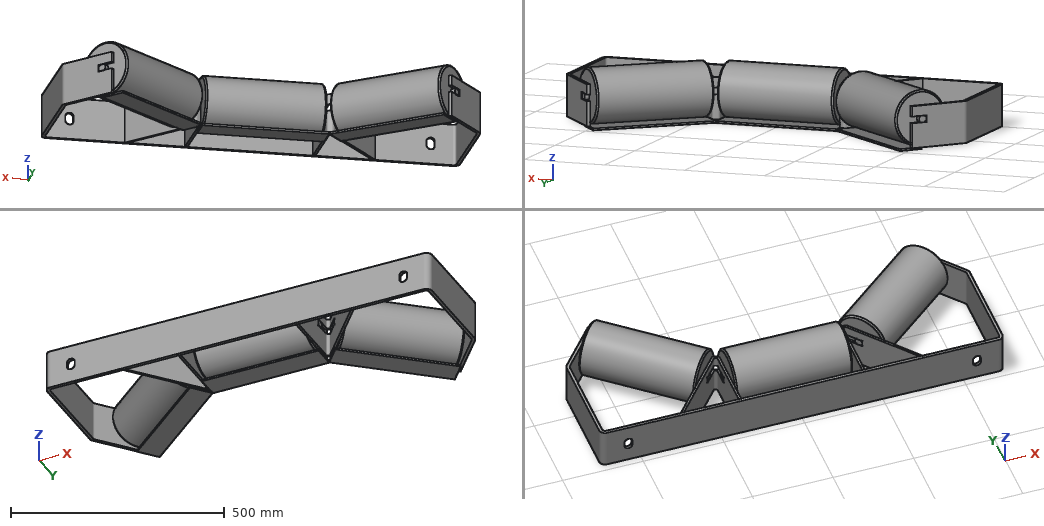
import cadquery as cq
import math


FRAME_LENGTH = 1000.0
STRAP_HEIGHT = 100.0
FRAME_THICKNESS = 8.0
FRAME_BEND_RADIUS = 15.0
MOUNT_HOLE_X = 432.0
MOUNT_HOLE_WIDTH = 20.0
MOUNT_HOLE_HEIGHT = 29.0
ARM_END = 30.0

BRACKET_THICKNESS = 6.0
BRACKET_BEND_RADIUS = 7.0
CAP_SIDE_REACH = 40.0
CAP_MIDDLE_REACH = 37.0

ROLLER_DIAMETER = 133.0
ROLLER_LENGTH = 290.0
ROLLER_CHAMFER = 4.0
TROUGH_ANGLE = 40.0
MIDDLE_Y = 125.0
SIDE_X = 305.0
SIDE_Y = 235.0
ROLLER_CLEARANCE = 1.0
SUPPORT_DISTANCE = 150.0
AXLE_DIAMETER = 20.0
AXLE_FLATS = 16.0

PLATE_LENGTH = 303.0
PLATE_WIDTH = 58.0
PLATE_THICKNESS = 5.0

SLOT_OVERRUN = 12.0
SLOT_REACH = 80.0

AXIS_Z = ROLLER_CLEARANCE + ROLLER_DIAMETER / 2
AXLE_LENGTH = 2 * (SUPPORT_DISTANCE + BRACKET_THICKNESS)
SLOT_LENGTH = 2 * (SUPPORT_DISTANCE + SLOT_OVERRUN)

STATIONS = [
    (-SIDE_X, SIDE_Y, -TROUGH_ANGLE),
    (0, MIDDLE_Y, 0),
    (SIDE_X, SIDE_Y, TROUGH_ANGLE),
]
LEFT_STATION, MIDDLE_STATION, RIGHT_STATION = STATIONS


def place(body, station):
    """Move a body from the origin to a roller station."""
    x, y, angle = station
    return body.rotate((0, 0, 0), (0, 0, 1), angle).translate((x, y, 0))


def station_point(station, along, across):
    """Plan position at distances along and across a station's roller axis."""
    x, y, angle = station
    cosine = math.cos(math.radians(angle))
    sine = math.sin(math.radians(angle))
    return (x + along * cosine - across * sine, y + along * sine + across * cosine)


def point_at_x(start, end, x):
    """Point of the line through start and end at the given X."""
    ratio = (x - start[0]) / (end[0] - start[0])
    return (x, start[1] + ratio * (end[1] - start[1]))


def point_at_y(start, end, y):
    """Point of the line through start and end at the given Y."""
    ratio = (y - start[1]) / (end[1] - start[1])
    return (start[0] + ratio * (end[0] - start[0]), y)


def left_normal(start, end):
    length = math.dist(start, end)
    return ((start[1] - end[1]) / length, (end[0] - start[0]) / length)


def offset_path(points, distance):
    """Open path moved to its left by a distance, with mitred corners."""
    normals = [left_normal(a, b) for a, b in zip(points, points[1:])]
    before = normals[:1] + normals
    after = normals + normals[-1:]
    moved = []
    for (x, y), (ax, ay), (bx, by) in zip(points, before, after):
        mitre = distance / (1 + ax * bx + ay * by)
        moved.append((x + mitre * (ax + bx), y + mitre * (ay + by)))
    return moved


def bent_strap(outer_path, thickness, bend_radius):
    """Upright strap bent along a path; the path is its outer face, on the right."""
    inner_path = offset_path(outer_path, thickness)
    strap = cq.Workplane("XY").polyline(outer_path + inner_path[::-1]).close().extrude(STRAP_HEIGHT)
    for path, radius in ((outer_path, bend_radius), (inner_path, bend_radius - thickness)):
        for x, y in path[1:-1]:
            corner = cq.selectors.NearestToPointSelector((x, y, STRAP_HEIGHT / 2))
            strap = strap.edges("|Z").edges(corner).fillet(radius)
    return strap


def axle_slot(station):
    """Cutter for the slots that let a roller's axle in from the back."""
    slot = (
        cq.Workplane("XY")
        .box(SLOT_LENGTH, SLOT_REACH + AXLE_DIAMETER / 2, AXLE_FLATS, centered=(True, False, True))
        .translate((0, -AXLE_DIAMETER / 2, AXIS_Z))
    )
    return place(slot, station)


def make_frame():
    half = FRAME_LENGTH / 2
    outer_face = SUPPORT_DISTANCE + FRAME_THICKNESS
    arm_end = station_point(LEFT_STATION, -outer_face, ARM_END)
    arm_middle = station_point(LEFT_STATION, -outer_face, 0)
    arm_bend = point_at_x(arm_end, arm_middle, -half)
    left_side = [arm_end, arm_bend, (-half, 0)]
    right_side = [(-x, y) for x, y in reversed(left_side)]
    frame = bent_strap(left_side + right_side, FRAME_THICKNESS, FRAME_BEND_RADIUS)
    mount_holes = (
        cq.Workplane("XZ")
        .pushPoints([(-MOUNT_HOLE_X, STRAP_HEIGHT / 2), (MOUNT_HOLE_X, STRAP_HEIGHT / 2)])
        .slot2D(MOUNT_HOLE_HEIGHT, MOUNT_HOLE_WIDTH, 90)
        .extrude(-FRAME_THICKNESS)
    )
    return frame.cut(mount_holes).cut(axle_slot(LEFT_STATION)).cut(axle_slot(RIGHT_STATION))


def make_left_bracket():
    """Strap standing on the frame: up the straight leg, over the cap, down the inclined leg."""
    back_of_frame = FRAME_THICKNESS
    straight_foot = (-SUPPORT_DISTANCE, back_of_frame)
    straight_top = (-SUPPORT_DISTANCE, MIDDLE_Y + CAP_MIDDLE_REACH)
    inclined_top = station_point(LEFT_STATION, SUPPORT_DISTANCE, CAP_SIDE_REACH)
    inclined_middle = station_point(LEFT_STATION, SUPPORT_DISTANCE, 0)
    inclined_foot = point_at_y(inclined_top, inclined_middle, -FRAME_THICKNESS)
    path = [straight_foot, straight_top, inclined_top, inclined_foot]
    bracket = bent_strap(path, BRACKET_THICKNESS, BRACKET_BEND_RADIUS)
    below_back = (
        cq.Workplane("XY")
        .box(FRAME_LENGTH, FRAME_LENGTH, STRAP_HEIGHT, centered=(True, False, False))
        .translate((0, back_of_frame - FRAME_LENGTH, 0))
    )
    return bracket.cut(below_back).cut(axle_slot(LEFT_STATION)).cut(axle_slot(MIDDLE_STATION))


def centred_cylinder(diameter, length):
    """Cylinder along X, centred on the origin."""
    return cq.Workplane("YZ", origin=(-length / 2, 0, 0)).circle(diameter / 2).extrude(length)


def make_roller(station):
    """Chamfered drum on an axle whose ends are flattened to fit the slots."""
    drum = centred_cylinder(ROLLER_DIAMETER, ROLLER_LENGTH).edges("%CIRCLE").chamfer(ROLLER_CHAMFER)
    axle = centred_cylinder(AXLE_DIAMETER, AXLE_LENGTH)
    flats = cq.Workplane("XY").box(AXLE_LENGTH, AXLE_DIAMETER, AXLE_FLATS)
    roller = drum.union(axle.intersect(flats)).translate((0, 0, AXIS_Z))
    return place(roller, station)


def make_plate(station):
    """Thin plate from under the roller axis towards the back."""
    plate = (
        cq.Workplane("XY")
        .box(PLATE_LENGTH, PLATE_WIDTH, PLATE_THICKNESS, centered=(True, False, False))
        .translate((0, 0, -PLATE_THICKNESS))
    )
    return place(plate, station)


frame = make_frame()
left_bracket = make_left_bracket()
right_bracket = left_bracket.mirror("YZ")
rollers = [make_roller(station) for station in STATIONS]
plates = [make_plate(station) for station in STATIONS]

bodies = [frame, left_bracket, right_bracket, *rollers, *plates]
result = cq.Compound.makeCompound([body.val() for body in bodies])